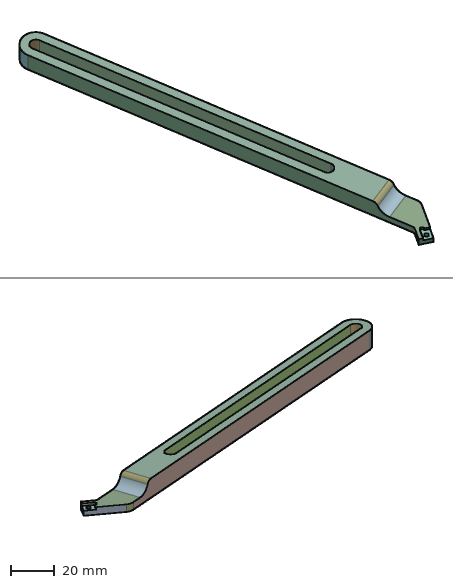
import cadquery as cq
import math

overall_length_x = 163.5
overall_length_y = 152.3
thickness = 10.0
end_radius = 7.5
bar_angle = 45.0
slot_width = 5.9
slot_length = 152.8

tip_thickness = 4.0
tip_width = 7.0
outer_bend_radius = 4.9
inner_bend_radius = 2.0

step_start = 180.5
step_top_radius = 3.0
step_bottom_radius = 6.5

seat_length = 5.7
seat_rim = 2.1
seat_depth = 1.3
relief_diameter = 2.1
hole_diameter = 2.1
hole_from_end = 2.8
hole_from_side = 2.6

tip_end_x = overall_length_x - end_radius
tip_side_y = overall_length_y - end_radius
tip_inner_y = tip_side_y - tip_width


def make_outline():
    """Bar and tab at full thickness, with both bends rounded."""
    tangent = end_radius * math.sin(math.radians(bar_angle))
    edge_offset = end_radius / math.cos(math.radians(bar_angle))
    slope = math.tan(math.radians(bar_angle))
    outer_bend_x = (tip_side_y - edge_offset) / slope
    inner_bend_x = (tip_inner_y + edge_offset) / slope
    body = (
        cq.Workplane("XY")
        .moveTo(-tangent, tangent)
        .lineTo(outer_bend_x, tip_side_y)
        .lineTo(tip_end_x, tip_side_y)
        .lineTo(tip_end_x, tip_inner_y)
        .lineTo(inner_bend_x, tip_inner_y)
        .lineTo(tangent, -tangent)
        .threePointArc((-tangent, -tangent), (-tangent, tangent))
        .close()
        .extrude(thickness)
    )
    middle = thickness / 2
    outer_edge = cq.NearestToPointSelector((outer_bend_x, tip_side_y, middle))
    inner_edge = cq.NearestToPointSelector((inner_bend_x, tip_inner_y, middle))
    body = body.edges(outer_edge).fillet(outer_bend_radius)
    return body.edges(inner_edge).fillet(inner_bend_radius)


def make_slot():
    """Through slot concentric with the round end."""
    return (
        cq.Workplane("XY")
        .center(slot_length / 2, 0)
        .slot2D(slot_length + slot_width, slot_width)
        .extrude(thickness)
        .rotate((0, 0, 0), (0, 0, 1), bar_angle)
    )


def make_step_cut():
    """Material above the tip, bounded by two tangent arcs that form an S."""
    radius_sum = step_top_radius + step_bottom_radius
    turn = math.acos(1 - (thickness - tip_thickness) / radius_sum)
    step_end = step_start + radius_sum * math.sin(turn)

    def top_point(angle):
        x = step_start + step_top_radius * math.sin(angle)
        return (x, thickness - step_top_radius * (1 - math.cos(angle)))

    def bottom_point(angle):
        x = step_end - step_bottom_radius * math.sin(angle)
        return (x, tip_thickness + step_bottom_radius * (1 - math.cos(angle)))

    beyond_tip = overall_length_x + overall_length_y
    return (
        cq.Workplane("XZ")
        .moveTo(step_start, thickness)
        .threePointArc(top_point(turn / 2), top_point(turn))
        .threePointArc(bottom_point(turn / 2), (step_end, tip_thickness))
        .lineTo(beyond_tip, tip_thickness)
        .lineTo(beyond_tip, thickness)
        .close()
        .extrude(overall_length_x, both=True)
        .rotate((0, 0, 0), (0, 0, 1), bar_angle)
    )


def make_seat():
    """Shallow seat with a round relief in its inner corner."""
    seat_width = tip_width - seat_rim
    relief_radius = relief_diameter / 2
    seat_x = tip_end_x - seat_length
    seat_y = tip_side_y - seat_width
    floor = cq.Workplane("XY").workplane(offset=tip_thickness - seat_depth)
    pocket = floor.moveTo(seat_x, seat_y).rect(seat_length, seat_width, centered=False).extrude(seat_depth)
    relief = floor.moveTo(seat_x, seat_y + relief_radius).circle(relief_radius).extrude(seat_depth)
    return pocket.union(relief)


def make_hole():
    """Through hole in the seat floor."""
    return (
        cq.Workplane("XY")
        .moveTo(tip_end_x - hole_from_end, tip_side_y - hole_from_side)
        .circle(hole_diameter / 2)
        .extrude(thickness)
    )


result = make_outline().cut(make_slot()).cut(make_step_cut()).cut(make_seat()).cut(make_hole())